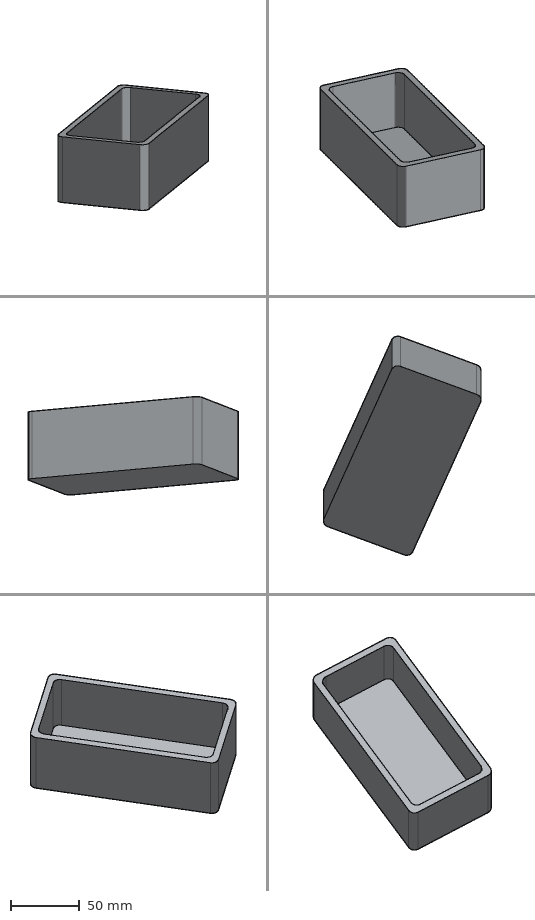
import cadquery as cq

width = 70.0
length = 140.0
height = 50.0

wall_thickness = 5.0
floor_thickness = 5.0
outer_corner_radius = 5.0
inner_corner_radius = 5.0


def rounded_block(size_x, size_y, size_z, corner_radius):
    """Block standing on Z = 0, centred in X and Y, with rounded upright edges."""
    block = cq.Workplane("XY").box(size_x, size_y, size_z, centered=(True, True, False))
    return block.edges("|Z").fillet(corner_radius)


def make_cavity():
    """Open-topped pocket that leaves the walls and the floor."""
    cavity = rounded_block(
        width - 2 * wall_thickness,
        length - 2 * wall_thickness,
        height - floor_thickness,
        inner_corner_radius,
    )
    return cavity.translate((0, 0, floor_thickness))


outer_body = rounded_block(width, length, height, outer_corner_radius)
result = outer_body.cut(make_cavity())